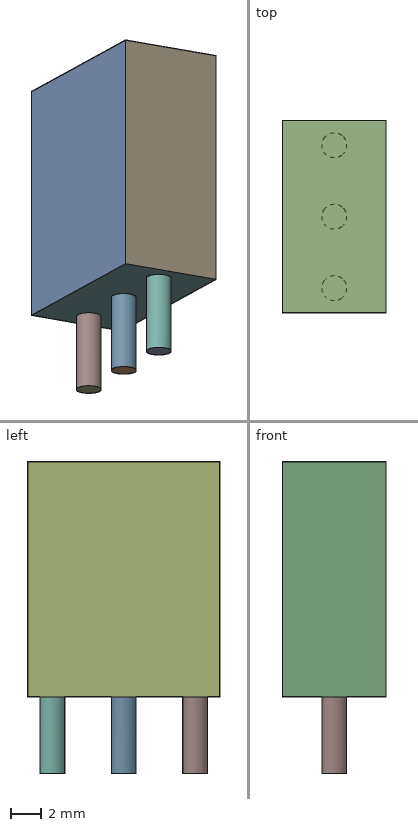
import cadquery as cq

body_width = 6.85
body_depth = 12.7
total_height = 20.6

pin_length = 5.07
pin_diameter = 1.65
pin_pitch = 4.72
pin_count = 3

body_height = total_height - pin_length


def make_housing():
    """Plain block standing on the Z = 0 plane."""
    return cq.Workplane("XY").box(body_width, body_depth, body_height, centered=(True, True, False))


def make_pin(y_position):
    """Round pin hanging from the underside of the housing."""
    return cq.Workplane("XY").center(0, y_position).circle(pin_diameter / 2).extrude(-pin_length)


housing = make_housing()

pins = []
for index in range(pin_count):
    row_offset = index - (pin_count - 1) / 2
    pins.append(make_pin(row_offset * pin_pitch).val())

result = cq.Compound.makeCompound([housing.val(), *pins])